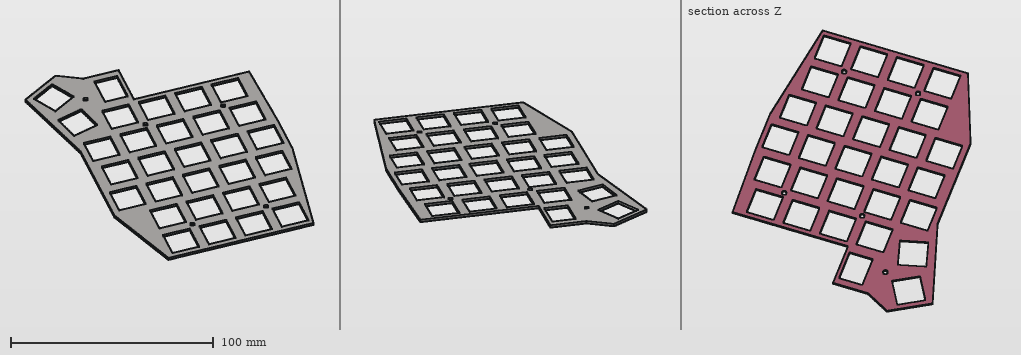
import cadquery as cq

plate_length = 143.8
plate_width = 112.0
plate_thickness = 1.5

switch_size = 14.0
matrix_center_x = 86.4
column_key_counts = [4, 5, 5, 5, 4, 4]
outer_column_spacing = 95.3
switch_pitch = outer_column_spacing / (len(column_key_counts) - 1)
column_centers_y = [68.5, 61.5, 64.1, 61.5, 66.3, 66.3]

wide_key_length = 15.7
wide_key_width = 12.0
wide_key_center = (18.3, 42.4)
inner_thumb_center = (35.8, 18.7)
inner_thumb_angle = 15
outer_thumb_center = (14.8, 13.7)
outer_thumb_angle = 30

hole_diameter = 2.2
left_holes_y = (49.6, 90.3)
right_holes_y = (47.0, 85.5)
thumb_hole_center = (21.1, 28.0)

thumb_side_x = 6.6
thumb_top_y = 50.5
matrix_left_x = 29.2
bottom_edge_y = 13.0

outline = [
    (0, 19.8),
    (thumb_side_x, 32.0),
    (thumb_side_x, thumb_top_y),
    (matrix_left_x, thumb_top_y),
    (matrix_left_x, 110.7),
    (67.3, plate_width),
    (89.5, plate_width),
    (plate_length, 103.5),
    (plate_length, 27.6),
    (105.7, bottom_edge_y),
    (56.2, bottom_edge_y),
    (11.5, 0),
]


def centered_steps(count):
    """Positions of equally pitched items, symmetric about zero."""
    return [(index - (count - 1) / 2) * switch_pitch for index in range(count)]


def rectangular_cutter(center, length, width, angle=0):
    """Block through the plate, turned about its own vertical axis."""
    block = cq.Workplane("XY").rect(length, width).extrude(plate_thickness)
    return block.rotate((0, 0, 0), (0, 0, 1), angle).translate((*center, 0))


plate = cq.Workplane("XY").polyline(outline).close().extrude(plate_thickness)

columns_x = [matrix_center_x + step for step in centered_steps(len(column_key_counts))]
matrix_centers = [
    (column_x, center_y + step)
    for column_x, center_y, count in zip(columns_x, column_centers_y, column_key_counts)
    for step in centered_steps(count)
]
matrix_cutters = (
    cq.Workplane("XY")
    .pushPoints(matrix_centers)
    .rect(switch_size, switch_size)
    .extrude(plate_thickness)
)
plate = plate.cut(matrix_cutters)

plate = plate.cut(rectangular_cutter(wide_key_center, wide_key_length, wide_key_width))
plate = plate.cut(rectangular_cutter(inner_thumb_center, switch_size, switch_size, inner_thumb_angle))
plate = plate.cut(rectangular_cutter(outer_thumb_center, switch_size, switch_size, outer_thumb_angle))

left_holes_x = (columns_x[0] + columns_x[1]) / 2
right_holes_x = (columns_x[-2] + columns_x[-1]) / 2
hole_centers = [(left_holes_x, y) for y in left_holes_y]
hole_centers += [(right_holes_x, y) for y in right_holes_y]
hole_centers.append(thumb_hole_center)
hole_cutters = (
    cq.Workplane("XY")
    .pushPoints(hole_centers)
    .circle(hole_diameter / 2)
    .extrude(plate_thickness)
)

result = plate.cut(hole_cutters)